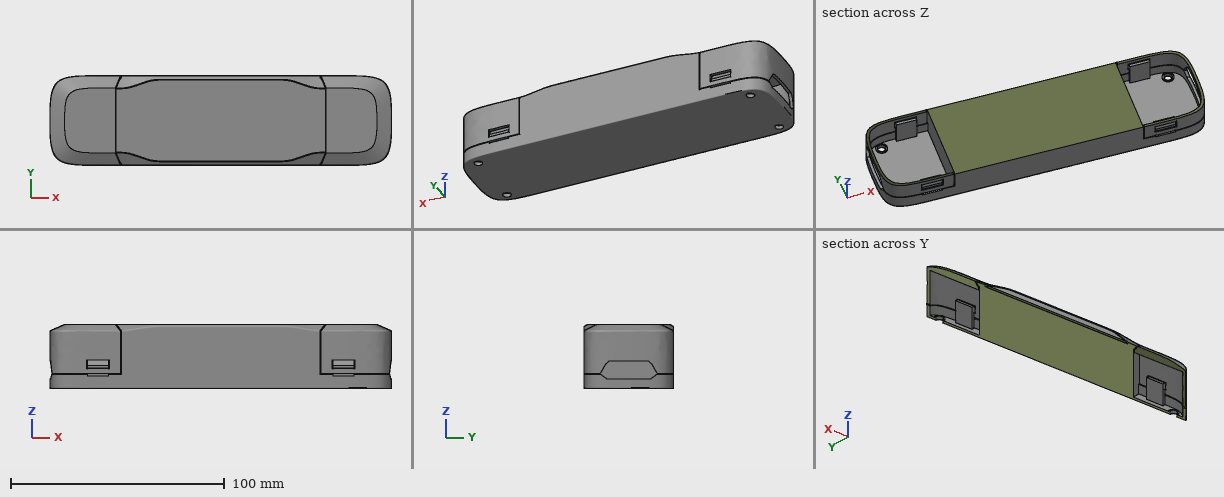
import cadquery as cq
import math

LENGTH = 160.0
WIDTH = 42.0
HEIGHT = 30.0
HALF_LENGTH = LENGTH / 2
HALF_WIDTH = WIDTH / 2

SIDE_HALF = 60.0
END_FLAT_HALF = 1.2
CORNER_FULLNESS = 0.888

BEVEL_HEIGHT = 3.0
BEVEL_SIDE_INSET = 5.8
BEVEL_END_INSET = 6.9
SHOULDER_Z = HEIGHT - BEVEL_HEIGHT
TOP_HALF_LENGTH = HALF_LENGTH - BEVEL_END_INSET
TOP_HALF_WIDTH = HALF_WIDTH - BEVEL_SIDE_INSET
TOP_SIDE_HALF = 57.5
TOP_END_FLAT_HALF = 0.3
BEVEL_TAPER = math.degrees(math.atan(BEVEL_SIDE_INSET / BEVEL_HEIGHT))
SHOULDER_RADIUS = 1.0
BOTTOM_RADIUS = 0.4
SELECTION_MARGIN = 0.1

MIDDLE_HALF = 47.2
BEND_END_X = 40.8
SLOPE_END_X = 34.8
WIDE_START_X = 28.7
SWEEP_ANGLE = math.radians(18.7)
BEND_END_Y = TOP_HALF_WIDTH + (MIDDLE_HALF - BEND_END_X) * math.tan(SWEEP_ANGLE / 2)
SLOPE_END_Y = BEND_END_Y + (BEND_END_X - SLOPE_END_X) * math.tan(SWEEP_ANGLE)
WIDE_TOP_HALF_WIDTH = SLOPE_END_Y + (SLOPE_END_X - WIDE_START_X) * math.tan(SWEEP_ANGLE / 2)
CROWN_DEPTH = 4.0
RUN_OUT = 14.0

PANEL_THICKNESS = 1.0
PANEL_CLEARANCE = 0.4

GAP = 0.4
JOINT_X = 46.9
JOINT_TOP_X = 49.3
CAP_BOTTOM_Z = 7.0

WALL = 1.5
END_WALL = 1.5
FLOOR = 1.5
CAP_CEILING_Z = 25.5
TRAY_BULKHEAD_X = JOINT_X - GAP

WINDOW_OUTER_X = 62.8
WINDOW_INNER_X = 52.1
WINDOW_BOTTOM_Z = 9.4
WINDOW_TOP_Z = 13.3
TAB_CLEARANCE = 0.35
TAB_SEAT_GAP = 0.2
TAB_RIDGE_Z = 10.9
TAB_RECESS = 0.4
TONGUE_THICKNESS = 1.5
TONGUE_CLEARANCE = 0.2
PRY_NOTCH_DEPTH = 0.6

OPENING_TOP_Z = 12.9
OPENING_KNEE_Z = 11.4
OPENING_BOTTOM_Z = 4.6
OPENING_TOP_HALF = 9.2
OPENING_KNEE_HALF = 10.8
OPENING_WIDE_HALF = 13.4
OPENING_LOWER_HALF = 12.1
OPENING_LOWER_Z = 5.8
OPENING_BOTTOM_HALF = 10.3
OPENING_DEPTH = 6.0

SCREW_DIAMETER = 4.0
SCREW_X = 70.5
SCREW_Y = 15.6
SCREW_BOSS_DIAMETER = 5.6
SCREW_BOSS_HEIGHT = 0.4
SCREW_BOSS_TOP_Z = FLOOR + SCREW_BOSS_HEIGHT


def plan_wire(z, half_length, half_width, side_half, end_half):
    """Closed rounded outline at height z; each corner is one Bezier curve."""
    handle_x = side_half + (half_length - side_half) * CORNER_FULLNESS
    handle_y = end_half + (half_width - end_half) * CORNER_FULLNESS
    corner = [
        (side_half, half_width),
        (handle_x, half_width),
        (half_length, handle_y),
        (half_length, end_half),
    ]
    lower_right = [(x, -y) for x, y in reversed(corner)]
    lower_left = [(-x, -y) for x, y in corner]
    upper_left = [(-x, y) for x, y in reversed(corner)]
    return (
        cq.Workplane("XY", origin=(0, 0, z))
        .moveTo(-side_half, half_width)
        .lineTo(*corner[0])
        .bezier(corner)
        .lineTo(*lower_right[0])
        .bezier(lower_right)
        .lineTo(*lower_left[0])
        .bezier(lower_left)
        .lineTo(*upper_left[0])
        .bezier(upper_left)
        .close()
    )


def outer_plan(z):
    return plan_wire(z, HALF_LENGTH, HALF_WIDTH, SIDE_HALF, END_FLAT_HALF)


def inner_plan(z):
    return plan_wire(z, HALF_LENGTH - END_WALL, HALF_WIDTH - WALL, SIDE_HALF, END_FLAT_HALF)


def edges_near(low, high):
    """Selector for edges whose centre lies between two corner points, widened a little."""
    margin = SELECTION_MARGIN
    return cq.selectors.BoxSelector(
        tuple(value - margin for value in low), tuple(value + margin for value in high)
    )


def x_range_block(x_low, x_high, z_low=0.0, z_high=HEIGHT):
    """Full-width block between two X planes."""
    return cq.Workplane("XY").box(
        x_high - x_low, WIDTH, z_high - z_low, centered=(False, True, False)
    ).translate((x_low, 0, z_low))


def rounded(body, edges, radius):
    """Fillet that leaves the body's own face divisions as they are."""
    return cq.Workplane(body.val().fillet(radius, edges.vals()))


def end_hull():
    """Full-length rounded body with the end bevel, cut down to the left end."""
    top = plan_wire(HEIGHT, TOP_HALF_LENGTH, TOP_HALF_WIDTH, TOP_SIDE_HALF, TOP_END_FLAT_HALF)
    outlines = [outer_plan(0), outer_plan(SHOULDER_Z), top]
    body = cq.Solid.makeLoft([outline.wires().val() for outline in outlines], True)
    hull = cq.Workplane(body).intersect(x_range_block(-HALF_LENGTH, -MIDDLE_HALF), clean=False)
    shoulder_edges = edges_near(
        (-HALF_LENGTH, -HALF_WIDTH, SHOULDER_Z),
        (-MIDDLE_HALF - 2 * SELECTION_MARGIN, HALF_WIDTH, SHOULDER_Z),
    )
    return rounded(hull, hull.edges(shoulder_edges), SHOULDER_RADIUS)


def middle_top_outline():
    """Flat top of the middle section, run out past both of its ends."""
    far_x = MIDDLE_HALF + RUN_OUT
    outline = cq.Workplane("XY", origin=(0, 0, HEIGHT)).moveTo(-far_x, -TOP_HALF_WIDTH)
    for side in (-1, 1):
        outline = (
            outline.lineTo(side * MIDDLE_HALF, side * TOP_HALF_WIDTH)
            .tangentArcPoint((side * BEND_END_X, side * BEND_END_Y), relative=False)
            .lineTo(side * SLOPE_END_X, side * SLOPE_END_Y)
            .tangentArcPoint((side * WIDE_START_X, side * WIDE_TOP_HALF_WIDTH), relative=False)
            .lineTo(-side * WIDE_START_X, side * WIDE_TOP_HALF_WIDTH)
            .tangentArcPoint((-side * SLOPE_END_X, side * SLOPE_END_Y), relative=False)
            .lineTo(-side * BEND_END_X, side * BEND_END_Y)
            .tangentArcPoint((-side * MIDDLE_HALF, side * TOP_HALF_WIDTH), relative=False)
            .lineTo(-side * far_x, side * TOP_HALF_WIDTH)
        )
        if side == -1:
            outline = outline.lineTo(far_x, TOP_HALF_WIDTH)
    return outline.close()


def middle_hull():
    """Middle section with its swept bevel and rounded shoulder."""
    crown = middle_top_outline().extrude(-CROWN_DEPTH, taper=-BEVEL_TAPER)
    block = x_range_block(-MIDDLE_HALF, MIDDLE_HALF)
    base = x_range_block(-MIDDLE_HALF, MIDDLE_HALF, 0, HEIGHT - CROWN_DEPTH)
    hull = base.union(block.intersect(crown)).clean()
    for side in (-1, 1):
        shoulder_edges = edges_near(
            (-MIDDLE_HALF + 2 * SELECTION_MARGIN, side * HALF_WIDTH, SHOULDER_Z),
            (MIDDLE_HALF - 2 * SELECTION_MARGIN, side * HALF_WIDTH, HEIGHT),
        )
        hull = rounded(hull, hull.edges(shoulder_edges), SHOULDER_RADIUS)
    return hull


def full_hull():
    """Closed outer shape of the assembled enclosure."""
    left_end = end_hull()
    hull = middle_hull().union(left_end, clean=False).union(left_end.mirror("YZ"), clean=False)
    return rounded(hull, hull.faces("<Z").edges("not(|Y)"), BOTTOM_RADIUS)


def cap_region(gap):
    """Space of the left cap; gap is the growth of its joint faces past the cap itself."""
    joint_x = -JOINT_X + gap
    joint_top_x = -JOINT_TOP_X + gap
    bottom_z = CAP_BOTTOM_Z - gap
    return (
        cq.Workplane("XZ", origin=(0, HALF_WIDTH, 0))
        .moveTo(-HALF_LENGTH, bottom_z)
        .lineTo(joint_x, bottom_z)
        .lineTo(joint_x, SHOULDER_Z)
        .lineTo(joint_top_x, HEIGHT)
        .lineTo(-HALF_LENGTH, HEIGHT)
        .close()
        .extrude(WIDTH)
    )


def cable_opening():
    """Opening through the left end wall, shared by cap and housing."""
    half_outline = [
        (OPENING_TOP_HALF, OPENING_TOP_Z),
        (OPENING_KNEE_HALF, OPENING_KNEE_Z),
        (OPENING_WIDE_HALF, CAP_BOTTOM_Z),
        (OPENING_LOWER_HALF, OPENING_LOWER_Z),
        (OPENING_BOTTOM_HALF, OPENING_BOTTOM_Z),
    ]
    mirrored = [(-y, z) for y, z in reversed(half_outline)]
    return (
        cq.Workplane("YZ", origin=(-HALF_LENGTH, 0, 0))
        .polyline(half_outline + mirrored)
        .close()
        .extrude(OPENING_DEPTH)
    )


def cap_windows():
    """Snap windows through both side walls of the left cap."""
    return (
        cq.Workplane("XZ", origin=(0, HALF_WIDTH, 0))
        .moveTo(-WINDOW_OUTER_X, WINDOW_BOTTOM_Z)
        .lineTo(-WINDOW_INNER_X, WINDOW_BOTTOM_Z)
        .lineTo(-WINDOW_INNER_X, WINDOW_TOP_Z)
        .lineTo(-WINDOW_OUTER_X, WINDOW_TOP_Z)
        .close()
        .extrude(WIDTH)
    )


def make_cap(hull):
    """Left end cap: a shell open below and toward the housing."""
    cavity = inner_plan(0).extrude(CAP_CEILING_Z)
    cap = hull.intersect(cap_region(0), clean=False).cut(cavity, clean=False)
    return cap.cut(cap_windows(), clean=False).cut(cable_opening(), clean=False)


def tray_cavity():
    """Hollow of the left housing end, open upward."""
    tray_space = x_range_block(-HALF_LENGTH, -TRAY_BULKHEAD_X, FLOOR, CAP_BOTTOM_Z)
    return inner_plan(FLOOR).extrude(HEIGHT).intersect(tray_space)


def snap_tongue():
    """Upright tongue inside the -Y wall of the left end, with a ramped snap tab."""
    tab_outer_x = WINDOW_OUTER_X - TAB_CLEARANCE
    tab_inner_x = WINDOW_INNER_X + TAB_CLEARANCE
    outer_y = -(HALF_WIDTH - WALL - TONGUE_CLEARANCE)
    inner_y = outer_y + TONGUE_THICKNESS
    tab_y = -(HALF_WIDTH - TAB_RECESS)
    tab_bottom_z = WINDOW_BOTTOM_Z + TAB_SEAT_GAP
    return (
        cq.Workplane("YZ", origin=(-tab_outer_x, 0, 0))
        .moveTo(inner_y, FLOOR)
        .lineTo(outer_y, FLOOR)
        .lineTo(outer_y, tab_bottom_z)
        .lineTo(tab_y, tab_bottom_z)
        .lineTo(tab_y, TAB_RIDGE_Z)
        .lineTo(outer_y, WINDOW_TOP_Z)
        .lineTo(inner_y, WINDOW_TOP_Z)
        .close()
        .extrude(tab_outer_x - tab_inner_x)
    )


def pry_notches():
    """Shallow notches in the tray rim, under both snap windows."""
    notch_bottom_z = CAP_BOTTOM_Z - GAP - PRY_NOTCH_DEPTH
    return x_range_block(
        -WINDOW_OUTER_X + TAB_CLEARANCE, -WINDOW_INNER_X - TAB_CLEARANCE, notch_bottom_z, CAP_BOTTOM_Z
    )


def screw_cylinders(diameter, top_z):
    """Upright cylinders from the underside at both screws of the left tray."""
    return (
        cq.Workplane("XY")
        .pushPoints([(-SCREW_X, -SCREW_Y), (-SCREW_X, SCREW_Y)])
        .circle(diameter / 2)
        .extrude(top_z)
    )


def screw_bosses():
    """Low bosses standing on the floor of the left tray."""
    bosses = screw_cylinders(SCREW_BOSS_DIAMETER, SCREW_BOSS_TOP_Z)
    return bosses.intersect(inner_plan(FLOOR).extrude(HEIGHT))


def panel_space(clearance):
    """Shallow slab under the flat middle top, set in from its long edges by the clearance."""
    outline = middle_top_outline()
    if clearance > 0:
        outline = outline.offset2D(-clearance)
    return outline.extrude(-PANEL_THICKNESS)


def make_top_panel(hull):
    """Panel inlaid in the housing top, running from one cap joint to the other."""
    left_joint = cap_region(GAP)
    panel = hull.intersect(panel_space(PANEL_CLEARANCE))
    return panel.cut(left_joint).cut(left_joint.mirror("YZ"))


def make_housing(hull):
    """Solid middle section with a tray at each end."""
    tongue = snap_tongue()
    left_tray_cuts = [cap_region(GAP), tray_cavity(), cable_opening(), pry_notches()]
    left_additions = [tongue, tongue.mirror("XZ"), screw_bosses()]
    holes = screw_cylinders(SCREW_DIAMETER, SCREW_BOSS_TOP_Z)
    housing = hull.cut(panel_space(0))
    for cut in left_tray_cuts:
        housing = housing.cut(cut).cut(cut.mirror("YZ"))
    for addition in left_additions:
        housing = housing.union(addition).union(addition.mirror("YZ"))
    return housing.cut(holes).cut(holes.mirror("YZ"))


hull = full_hull()
housing = make_housing(hull)
top_panel = make_top_panel(hull)
left_cap = make_cap(hull)
right_cap = left_cap.mirror("YZ")

result = cq.Compound.makeCompound(
    [housing.val(), top_panel.val(), left_cap.val(), right_cap.val()]
)